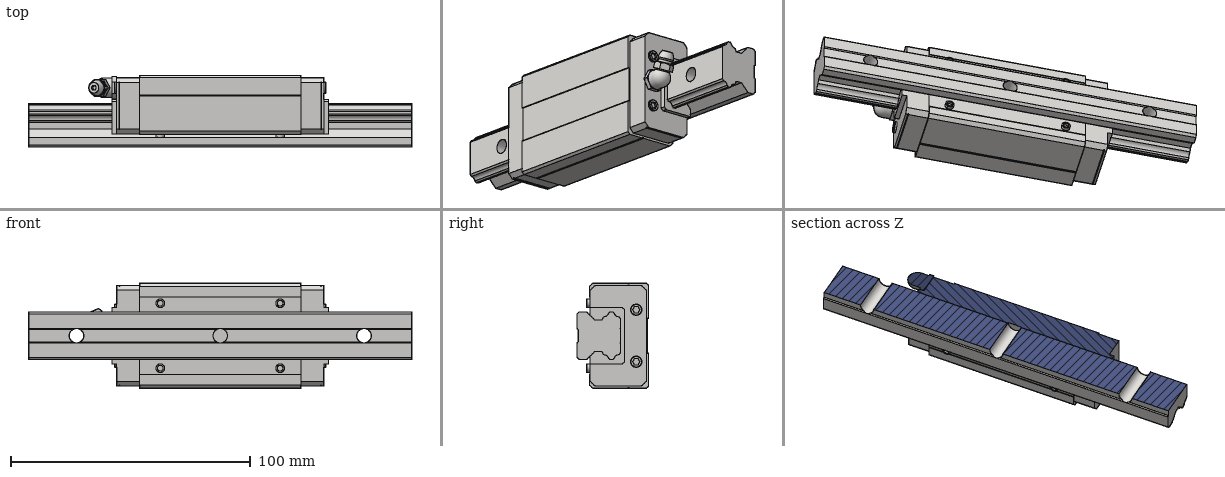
import cadquery as cq
import math


RAIL_LENGTH = 160.0
RAIL_HEIGHT = 18.2
RAIL_HALF_WIDTH = 10.0
RAIL_EDGE_CHAMFER = 1.0
FOOT_HEIGHT = 4.1
NECK_HALF_WIDTH = 6.5
NECK_BOTTOM = 7.6
NECK_TOP = 10.4
SHOULDER_HALF_WIDTH = 7.9
TRACK_RADIUS = RAIL_HALF_WIDTH - SHOULDER_HALF_WIDTH
TRACK_RIB_Y = 14.4
TRACK_RIB_HALF = 1.1
TRACK_RIB_FLAT_HALF = 0.5
TRACK_RIB_CHAMFER = 0.6
RAIL_TOP_CHAMFER = 0.8
BASE_GROOVE_HALF = 3.0
BASE_GROOVE_FLOOR_HALF = 2.6
BASE_GROOVE_DEPTH = 0.5
RAIL_HOLE_DIAMETER = 6.0
RAIL_HOLE_PITCH = 60.0

BLOCK_LENGTH = 67.2
BLOCK_TOP = 30.0
BLOCK_BOTTOM = 5.2
BLOCK_HALF_WIDTH = 22.0
BLOCK_TOP_CHAMFER = 1.0
BLOCK_BOTTOM_CHAMFER = 1.5
TOP_GROOVE_WIDTH = 14.6
TOP_GROOVE_DEPTH = 0.5
BOTTOM_RECESS_HALF = 16.1
BOTTOM_RECESS_DEPTH = 0.25
SIDE_GROOVE_Y = 21.6
SIDE_GROOVE_WIDTH = 0.5
SIDE_GROOVE_DEPTH = 0.3

CAP_OUTER_X = 43.2
CAP_TOP = 29.0
CAP_BOTTOM = 5.6
CAP_HALF_WIDTH = 21.0
CAP_CHAMFER = 2.0
CAP_GROOVE_X = 42.1
CAP_GROOVE_WIDTH = 0.3
CAP_GROOVE_DEPTH = 0.3
SEAL_THICKNESS = 2.0
SEAL_TOP = 20.0
SEAL_HALF_WIDTH = 11.8
SEAL_CHAMFER = 1.0

PLUG_Y = 24.8
PLUG_Z = 10.85
PLUG_DIAMETER = 4.7
PLUG_HEIGHT = 0.9
PLUG_CHAMFER = 0.15
PLUG_HEX_FLATS = 2.6
PIN_X = 25.0
PIN_Z = 13.55
PIN_DIAMETER = 3.6
PIN_END_Y = 4.1
PIN_SOCKET_DIAMETER = 2.4
PIN_SOCKET_DEPTH = 1.0

ELBOW_X = -48.4
ELBOW_RADIUS = 4.15
FLANGE_LENGTH = 2.0
HEAD_TILT = 22.5
HEX_FLATS = 7.1
HEX_BOTTOM = 3.5
HEX_TOP = 6.5
HEX_CHAMFER = 0.7
WAIST_RADIUS = 2.9
WAIST_TOP = 7.6
BULGE_RADIUS = 3.4
BULGE_TOP = 8.3
TAPER_MID_RADIUS = 3.0
TAPER_MID = 9.8
TIP_RADIUS = 2.2
TIP_TOP = 11.4
GREASE_HOLE_DIAMETER = 2.0
GREASE_HOLE_DEPTH = 1.5


def extrude_section(points, length):
    return cq.Workplane("YZ").polyline(points).close().extrude(length / 2, both=True)


def mirrored_outline(half_points):
    """Full outline, from the points of its +Z half and their mirror images."""
    return half_points + [(y, -z) for y, z in reversed(half_points)]


def end_x(side, x):
    """Workplane facing outwards along X at one end of the carriage."""
    return cq.Plane(origin=(side * x, 0, 0), xDir=(0, 1, 0), normal=(side, 0, 0))


def hexagon_diameter(flats):
    """Corner diameter of a hexagon with the given width across flats."""
    return flats / math.cos(math.pi / 6)


def rail_blank():
    """Solid rail section with concave ball tracks, without base groove and holes."""
    lower_track_y = TRACK_RIB_Y - TRACK_RIB_HALF - TRACK_RADIUS
    upper_track_y = TRACK_RIB_Y + TRACK_RIB_HALF + TRACK_RADIUS
    track_end_z = RAIL_HALF_WIDTH - TRACK_RIB_CHAMFER
    track_end = math.sqrt(TRACK_RADIUS**2 - TRACK_RIB_CHAMFER**2)
    track_mid = TRACK_RADIUS * math.sqrt(0.5)
    half = (
        cq.Workplane("YZ")
        .moveTo(0, 0)
        .lineTo(0, RAIL_HALF_WIDTH - RAIL_EDGE_CHAMFER)
        .lineTo(RAIL_EDGE_CHAMFER, RAIL_HALF_WIDTH)
        .lineTo(FOOT_HEIGHT, RAIL_HALF_WIDTH)
        .lineTo(NECK_BOTTOM, NECK_HALF_WIDTH)
        .lineTo(NECK_TOP, NECK_HALF_WIDTH)
        .lineTo(lower_track_y, SHOULDER_HALF_WIDTH)
        .threePointArc(
            (lower_track_y + track_mid, RAIL_HALF_WIDTH - track_mid),
            (lower_track_y + track_end, track_end_z),
        )
        .lineTo(TRACK_RIB_Y - TRACK_RIB_FLAT_HALF, RAIL_HALF_WIDTH)
        .lineTo(TRACK_RIB_Y + TRACK_RIB_FLAT_HALF, RAIL_HALF_WIDTH)
        .lineTo(upper_track_y - track_end, track_end_z)
        .threePointArc(
            (upper_track_y - track_mid, RAIL_HALF_WIDTH - track_mid),
            (upper_track_y, SHOULDER_HALF_WIDTH),
        )
        .lineTo(RAIL_HEIGHT, SHOULDER_HALF_WIDTH - RAIL_TOP_CHAMFER)
        .lineTo(RAIL_HEIGHT, 0)
        .close()
        .extrude(RAIL_LENGTH / 2, both=True)
    )
    return half.union(half.mirror("XY")).clean()


def make_rail(blank):
    groove = extrude_section(mirrored_outline([
        (0, BASE_GROOVE_HALF),
        (BASE_GROOVE_DEPTH, BASE_GROOVE_FLOOR_HALF),
    ]), RAIL_LENGTH)
    holes = (
        cq.Workplane("XZ")
        .rarray(RAIL_HOLE_PITCH, 1, 3, 1)
        .circle(RAIL_HOLE_DIAMETER / 2)
        .extrude(-RAIL_HEIGHT)
    )
    return blank.cut(groove).cut(holes)


def carriage_block():
    block = extrude_section(mirrored_outline([
        (BLOCK_BOTTOM, BLOCK_HALF_WIDTH - BLOCK_BOTTOM_CHAMFER),
        (BLOCK_BOTTOM + BLOCK_BOTTOM_CHAMFER, BLOCK_HALF_WIDTH),
        (BLOCK_TOP - BLOCK_TOP_CHAMFER, BLOCK_HALF_WIDTH),
        (BLOCK_TOP, BLOCK_HALF_WIDTH - BLOCK_TOP_CHAMFER),
    ]), BLOCK_LENGTH)
    top_groove = (
        cq.Workplane()
        .box(BLOCK_LENGTH, 2 * TOP_GROOVE_DEPTH, TOP_GROOVE_WIDTH)
        .translate((0, BLOCK_TOP, 0))
    )
    side_grooves = (
        cq.Workplane("YZ")
        .pushPoints([(SIDE_GROOVE_Y, BLOCK_HALF_WIDTH), (SIDE_GROOVE_Y, -BLOCK_HALF_WIDTH)])
        .rect(SIDE_GROOVE_WIDTH, 2 * SIDE_GROOVE_DEPTH)
        .extrude(BLOCK_LENGTH / 2, both=True)
    )
    return block.cut(top_groove).cut(side_grooves)


def end_caps():
    """One bar through the block whose two ends stand out as the end caps."""
    caps = extrude_section(mirrored_outline([
        (CAP_BOTTOM, CAP_HALF_WIDTH - CAP_CHAMFER),
        (CAP_BOTTOM + CAP_CHAMFER, CAP_HALF_WIDTH),
        (CAP_TOP - CAP_CHAMFER, CAP_HALF_WIDTH),
        (CAP_TOP, CAP_HALF_WIDTH - CAP_CHAMFER),
    ]), 2 * CAP_OUTER_X)
    grooves = (
        cq.Workplane("XZ")
        .rarray(2 * CAP_GROOVE_X, 2 * CAP_HALF_WIDTH, 2, 2)
        .rect(CAP_GROOVE_WIDTH, 2 * CAP_GROOVE_DEPTH)
        .extrude(-CAP_TOP)
    )
    return caps.cut(grooves)


def end_seals():
    """One bar whose two ends stand out of the caps as the end seals."""
    return extrude_section(mirrored_outline([
        (CAP_BOTTOM, SEAL_HALF_WIDTH),
        (SEAL_TOP - SEAL_CHAMFER, SEAL_HALF_WIDTH),
        (SEAL_TOP, SEAL_HALF_WIDTH - SEAL_CHAMFER),
    ]), 2 * (CAP_OUTER_X + SEAL_THICKNESS))


def cap_plugs(side):
    """Two flat screw heads with hexagon sockets on one end cap."""
    centres = [(PLUG_Y, PLUG_Z), (PLUG_Y, -PLUG_Z)]
    heads = (
        cq.Workplane(end_x(side, CAP_OUTER_X))
        .pushPoints(centres)
        .circle(PLUG_DIAMETER / 2)
        .extrude(PLUG_HEIGHT)
        .faces(">X" if side > 0 else "<X")
        .chamfer(PLUG_CHAMFER)
    )
    sockets = (
        cq.Workplane(end_x(side, CAP_OUTER_X))
        .pushPoints(centres)
        .polygon(6, hexagon_diameter(PLUG_HEX_FLATS))
        .extrude(PLUG_HEIGHT)
    )
    return heads.cut(sockets)


def bottom_pins():
    """Four socketed pins standing out of the underside of the block."""
    pins_plane = cq.Workplane("XZ", origin=(0, PIN_END_Y, 0))
    pins = (
        pins_plane.rarray(2 * PIN_X, 2 * PIN_Z, 2, 2)
        .circle(PIN_DIAMETER / 2)
        .extrude(-(BLOCK_BOTTOM + BOTTOM_RECESS_DEPTH - PIN_END_Y))
    )
    sockets = (
        pins_plane.rarray(2 * PIN_X, 2 * PIN_Z, 2, 2)
        .circle(PIN_SOCKET_DIAMETER / 2)
        .extrude(-PIN_SOCKET_DEPTH)
    )
    return pins.cut(sockets)


def bottom_recess():
    """Shallow recess along the underside of the block, between the two cap faces."""
    return (
        cq.Workplane()
        .box(BLOCK_LENGTH, 2 * BOTTOM_RECESS_DEPTH, 2 * BOTTOM_RECESS_HALF)
        .translate((0, BLOCK_BOTTOM, 0))
    )


def make_carriage(blank):
    """Block, caps, seals and screws in one, with a slot that fits around the rail."""
    carriage = carriage_block().union(end_caps()).union(end_seals())
    carriage = carriage.cut(bottom_recess()).cut(blank)
    for side in (-1, 1):
        carriage = carriage.union(cap_plugs(side))
    return carriage.union(bottom_pins())


def make_nipple():
    flange = (
        cq.Workplane("YZ", origin=(-CAP_OUTER_X - FLANGE_LENGTH, PLUG_Y, 0))
        .polygon(6, hexagon_diameter(2 * ELBOW_RADIUS))
        .extrude(FLANGE_LENGTH)
    )
    neck = (
        cq.Workplane("YZ", origin=(ELBOW_X, PLUG_Y, 0))
        .circle(ELBOW_RADIUS)
        .extrude(-CAP_OUTER_X - FLANGE_LENGTH - ELBOW_X)
    )
    elbow = cq.Workplane(origin=(ELBOW_X, PLUG_Y, 0)).sphere(ELBOW_RADIUS)
    hex_corner_radius = hexagon_diameter(HEX_FLATS) / 2
    chamfered_rod = (
        cq.Workplane()
        .circle(hex_corner_radius)
        .extrude(HEX_TOP)
        .faces(">Z")
        .chamfer(HEX_CHAMFER)
    )
    hexagon = (
        cq.Workplane(origin=(0, 0, HEX_BOTTOM))
        .polygon(6, 2 * hex_corner_radius)
        .extrude(HEX_TOP - HEX_BOTTOM)
        .intersect(chamfered_rod)
    )
    head = (
        cq.Workplane("XZ")
        .lineTo(WAIST_RADIUS, 0)
        .lineTo(WAIST_RADIUS, WAIST_TOP)
        .lineTo(BULGE_RADIUS, BULGE_TOP)
        .threePointArc((TAPER_MID_RADIUS, TAPER_MID), (TIP_RADIUS, TIP_TOP))
        .lineTo(0, TIP_TOP)
        .close()
        .revolve(360, (0, 0), (0, 1))
    )
    hole = (
        cq.Workplane(origin=(0, 0, TIP_TOP - GREASE_HOLE_DEPTH))
        .circle(GREASE_HOLE_DIAMETER / 2)
        .extrude(GREASE_HOLE_DEPTH)
    )
    head = (
        head.union(hexagon)
        .cut(hole)
        .rotate((0, 0, 0), (0, 1, 0), -HEAD_TILT)
        .translate((ELBOW_X, PLUG_Y, 0))
    )
    return flange.union(neck).union(elbow).union(head)


blank = rail_blank()
rail = make_rail(blank)
carriage = make_carriage(blank)
nipple = make_nipple()
result = cq.Compound.makeCompound([rail.val(), carriage.val(), nipple.val()])